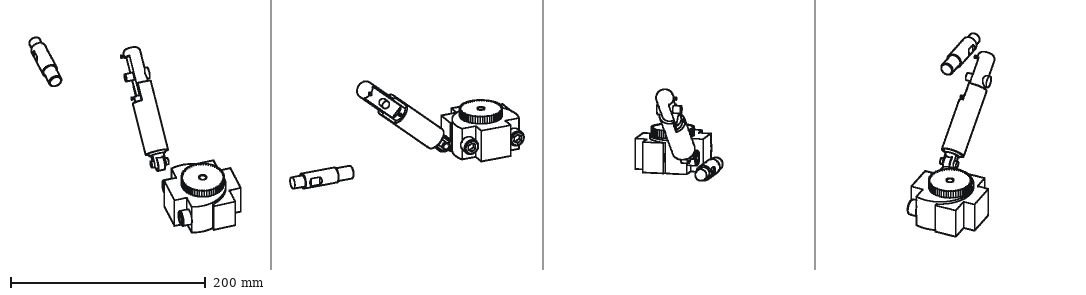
import cadquery as cq
import math


BLOCK_HEIGHT = 34.5
CROSS_HEIGHT = 32.0
DISC_RADIUS = 34.5
DISC_CENTER_Y = -11.2
SEAT_Y = -23.0
LUG_HALF_WIDTH = 16.8
LUG_FRONT_Y = -36.3
LUG_BACK_Y = 35.7
WING_BACK_Y = 23.3
WING_RIGHT_X = 35.7
WING_LEFT_X = -34.2
RIGHT_WING_FRONT_Y = 0.0
LEFT_WING_FRONT_Y = 1.8
LEFT_WING_STEP_X = -32.8

KNOB_TOP_Z = 42.5
KNOB_RADIUS = 22.0
KNOB_GROOVE_DEPTH = 1.2
TOOTH_COUNT = 52
BORE_DIAMETER = 6.8
BORE_MOUTH_DIAMETER = 8.0

SCREW_DIAMETER = 16.0
SCREW_X = 26.0
SCREW_Z = 16.2
SCREW_FRONT_Y = -33.0
SCREW_CHAMFER = 1.2
SOCKET_ACROSS_CORNERS = 9.0
SOCKET_DEPTH = 4.5
SOCKET_TIP_DEPTH = 2.7

ARM_PLACE = (-56.7, -27.7, 24.2)
ARM_ELEVATION = 40.8

TUBE_DIAMETER = 24.0
TUBE_START = 11.2
TUBE_END = 84.5
TUBE_FRONT_END = 66.0
TUBE_FLAT_OFFSET = 4.5
ROD_FLAT_OFFSET = 5.0
ROD_DIAMETER = 18.0
ROD_END = 122.7
ROD_FLAT_START = 72.3
ROD_FLAT_END = 114.5
DOME_TIP_DIAMETER = 7.0

COLLAR_START = 8.9
COLLAR_SMALL_RADIUS = 8.0
COLLAR_LARGE_RADIUS = 10.0
NECK_DIAMETER = 14.0
NECK_WIDTH = 12.0
EYE_DIAMETER = 16.0
EYE_WIDTH = 7.0
EYE_PIN_DIAMETER = 6.8
EYE_PIN_LENGTH = 18.0

CATCH_PIN_DIAMETER = 8.0
CATCH_PIN_PLACE = 93.5
CATCH_PIN_FRONT = 13.0
CATCH_HEAD_DIAMETER = 12.0
CATCH_HEAD_BACK = 11.5
STUD_PLACES = (71.0, 116.0)
STUD_FRONT = 12.0
STUD_NECK_DIAMETER = 1.8
STUD_HEAD_DIAMETER = 3.0
STUD_HEAD_THICKNESS = 1.0

SHAFT_LEFT_X = -259.5
SHAFT_Y = -94.7
SHAFT_Z = 43.0
SHAFT_LEFT_DIAMETER = 12.0
SHAFT_LEFT_LENGTH = 11.8
SHAFT_MIDDLE_DIAMETER = 16.0
SHAFT_MIDDLE_LENGTH = 37.2
SHAFT_RIGHT_DIAMETER = 13.5
SHAFT_RIGHT_LENGTH = 18.0
SHAFT_CHAMFER = 1.0
NOTCH_CENTER = 23.0
NOTCH_FLOOR_LENGTH = 9.7
NOTCH_MOUTH_LENGTH = 14.0
NOTCH_FLOOR_OFFSET = 6.8


def box_between(x0, x1, y0, y1, z0, z1):
    return cq.Workplane("XY").box(x1 - x0, y1 - y0, z1 - z0, centered=False).translate((x0, y0, z0))


def cylinder_along_y(diameter, x, z, y0, y1):
    solid = cq.Solid.makeCylinder(diameter / 2, y1 - y0, cq.Vector(x, y0, z), cq.Vector(0, 1, 0))
    return cq.Workplane(obj=solid)


def cylinder_along_z(diameter, z0, z1):
    return cq.Workplane("XY", origin=(0, 0, z0)).circle(diameter / 2).extrude(z1 - z0)


def make_block_body():
    disc = cq.Workplane("XY").center(0, DISC_CENTER_Y).circle(DISC_RADIUS).extrude(BLOCK_HEIGHT)
    front_waste = box_between(-2 * DISC_RADIUS, 2 * DISC_RADIUS, 2 * LUG_FRONT_Y, SEAT_Y, 0, BLOCK_HEIGHT)
    front_lug = box_between(-LUG_HALF_WIDTH, LUG_HALF_WIDTH, LUG_FRONT_Y, 0, 0, BLOCK_HEIGHT)
    cross = (
        cq.Workplane("XY")
        .polyline([
            (WING_RIGHT_X, RIGHT_WING_FRONT_Y),
            (WING_RIGHT_X, WING_BACK_Y),
            (LUG_HALF_WIDTH, WING_BACK_Y),
            (LUG_HALF_WIDTH, LUG_BACK_Y),
            (-LUG_HALF_WIDTH, LUG_BACK_Y),
            (-LUG_HALF_WIDTH, WING_BACK_Y),
            (WING_LEFT_X, WING_BACK_Y),
            (WING_LEFT_X, LEFT_WING_FRONT_Y),
            (LEFT_WING_STEP_X, LEFT_WING_FRONT_Y),
            (LEFT_WING_STEP_X, RIGHT_WING_FRONT_Y),
        ])
        .close()
        .extrude(CROSS_HEIGHT)
    )
    foot_boss = cylinder_along_y(SCREW_DIAMETER, -SCREW_X, SCREW_Z, RIGHT_WING_FRONT_Y, LEFT_WING_FRONT_Y)
    return disc.cut(front_waste).union(front_lug).union(cross).union(foot_boss)


def rim_point(radius, step):
    angle = math.pi * step / TOOTH_COUNT
    return (radius * math.cos(angle), radius * math.sin(angle))


def make_knob():
    valley_radius = KNOB_RADIUS - KNOB_GROOVE_DEPTH
    outline = cq.Workplane("XY").moveTo(*rim_point(valley_radius, 0))
    for tooth in range(TOOTH_COUNT):
        crest = rim_point(KNOB_RADIUS, 2 * tooth + 1)
        next_valley = rim_point(valley_radius, 2 * tooth + 2)
        outline = outline.threePointArc(crest, next_valley)
    return outline.close().extrude(KNOB_TOP_Z)


def make_screw(x):
    head = cylinder_along_y(SCREW_DIAMETER, x, SCREW_Z, SCREW_FRONT_Y, SEAT_Y)
    head = head.faces("<Y").chamfer(SCREW_CHAMFER)
    socket_radius = SOCKET_ACROSS_CORNERS / 2
    hexagon = (
        cq.Workplane("XZ", origin=(x, SCREW_FRONT_Y, SCREW_Z))
        .transformed(rotate=(0, 0, 90))
        .polygon(6, SOCKET_ACROSS_CORNERS)
        .extrude(-SOCKET_DEPTH - SOCKET_TIP_DEPTH)
    )
    drill = (
        cq.Workplane("XY", origin=(x, SCREW_FRONT_Y, SCREW_Z))
        .polyline([
            (0, 0),
            (socket_radius, 0),
            (socket_radius, SOCKET_DEPTH),
            (0, SOCKET_DEPTH + SOCKET_TIP_DEPTH),
        ])
        .close()
        .revolve(360, (0, 0, 0), (0, 1, 0))
    )
    return head.cut(hexagon.intersect(drill))


def make_knob_block():
    block = make_block_body().union(make_knob())
    for x in (-SCREW_X, SCREW_X):
        block = block.union(make_screw(x))
    mouth_depth = (BORE_MOUTH_DIAMETER - BORE_DIAMETER) / 2
    bore = cylinder_along_z(BORE_DIAMETER, 0, KNOB_TOP_Z)
    mouth = cq.Solid.makeCone(
        BORE_DIAMETER / 2, BORE_MOUTH_DIAMETER / 2, mouth_depth, cq.Vector(0, 0, KNOB_TOP_Z - mouth_depth)
    )
    return block.cut(bore).cut(cq.Workplane(obj=mouth))


def make_front_cutter(offset, start, end):
    reach = TUBE_DIAMETER
    return box_between(-reach, reach, -reach, -offset, start, end)


def make_tube():
    tube = cylinder_along_z(TUBE_DIAMETER, TUBE_START, TUBE_END)
    return tube.cut(make_front_cutter(TUBE_FLAT_OFFSET, TUBE_FRONT_END, TUBE_END))


def make_rod():
    dome_radius = (ROD_DIAMETER - DOME_TIP_DIAMETER) / 2
    rod = cylinder_along_z(ROD_DIAMETER, TUBE_START, ROD_END)
    rod = rod.faces(">Z").edges().fillet(dome_radius)
    return rod.cut(make_front_cutter(ROD_FLAT_OFFSET, ROD_FLAT_START, ROD_FLAT_END))


def make_eye_end():
    collar = cq.Workplane(obj=cq.Solid.makeCone(
        COLLAR_SMALL_RADIUS, COLLAR_LARGE_RADIUS, TUBE_START - COLLAR_START, cq.Vector(0, 0, COLLAR_START)
    ))
    neck = cylinder_along_z(NECK_DIAMETER, 0, TUBE_START)
    neck = neck.union(cq.Workplane("XY").sphere(NECK_DIAMETER / 2))
    neck_flats = cq.Workplane("XY").box(2 * NECK_DIAMETER, NECK_WIDTH, 4 * NECK_DIAMETER)
    neck = neck.intersect(neck_flats)
    eye = cylinder_along_y(EYE_DIAMETER, 0, 0, -EYE_WIDTH / 2, EYE_WIDTH / 2)
    pin = cylinder_along_y(EYE_PIN_DIAMETER, 0, 0, -EYE_PIN_LENGTH / 2, EYE_PIN_LENGTH / 2)
    return collar.union(neck).union(eye).union(pin)


def make_stud(place):
    neck = cylinder_along_y(STUD_NECK_DIAMETER, 0, place, -STUD_FRONT, 0)
    head = cylinder_along_y(STUD_HEAD_DIAMETER, 0, place, -STUD_FRONT, STUD_HEAD_THICKNESS - STUD_FRONT)
    return neck.union(head)


def make_arm():
    arm = make_tube().union(make_rod()).union(make_eye_end())
    arm = arm.union(cylinder_along_y(CATCH_PIN_DIAMETER, 0, CATCH_PIN_PLACE, -CATCH_PIN_FRONT, 0))
    arm = arm.union(cylinder_along_y(CATCH_HEAD_DIAMETER, 0, CATCH_PIN_PLACE, 0, CATCH_HEAD_BACK))
    for place in STUD_PLACES:
        arm = arm.union(make_stud(place))
    return arm.rotate((0, 0, 0), (0, 1, 0), ARM_ELEVATION - 90).translate(ARM_PLACE)


def make_shaft():
    sections = (
        (SHAFT_LEFT_DIAMETER, SHAFT_LEFT_LENGTH),
        (SHAFT_MIDDLE_DIAMETER, SHAFT_MIDDLE_LENGTH),
        (SHAFT_RIGHT_DIAMETER, SHAFT_RIGHT_LENGTH),
    )
    shaft = cq.Workplane("YZ")
    for diameter, length in sections:
        shaft = shaft.circle(diameter / 2).extrude(length).faces(">X").workplane()
    shaft = cq.Workplane(obj=shaft.findSolid())
    shaft = shaft.faces(">X").chamfer(SHAFT_CHAMFER)
    surface = SHAFT_MIDDLE_DIAMETER / 2
    notch = (
        cq.Workplane("XY")
        .polyline([
            (NOTCH_CENTER - NOTCH_FLOOR_LENGTH / 2, -NOTCH_FLOOR_OFFSET),
            (NOTCH_CENTER + NOTCH_FLOOR_LENGTH / 2, -NOTCH_FLOOR_OFFSET),
            (NOTCH_CENTER + NOTCH_MOUTH_LENGTH / 2, -surface),
            (NOTCH_CENTER - NOTCH_MOUTH_LENGTH / 2, -surface),
        ])
        .close()
        .extrude(surface, both=True)
    )
    shaft = shaft.cut(notch).cut(notch.mirror("XZ"))
    return shaft.translate((SHAFT_LEFT_X, SHAFT_Y, SHAFT_Z))


knob_block = make_knob_block()
arm = make_arm()
shaft = make_shaft()

result = cq.Compound.makeCompound([knob_block.val(), arm.val(), shaft.val()])